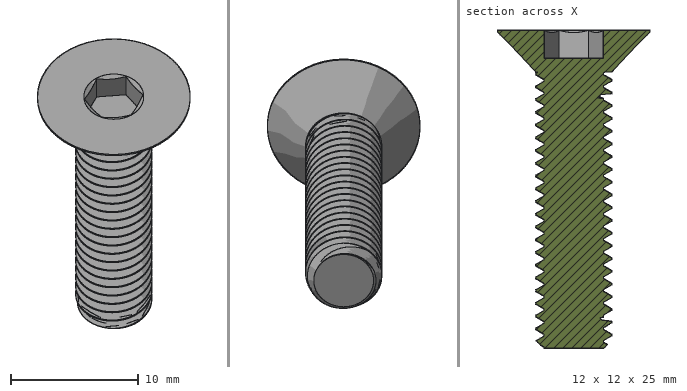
import cadquery as cq
import math

length = 25.0
head_diameter = 12.0
thread_diameter = 6.0

head_height = 3.3
rim_height = 0.15
head_base_z = length - head_height

socket_flats = 4.0
socket_depth = 2.2
lead_in_diameter = 4.7
lead_in_angle = 30.0

pitch = 1.0
root_diameter = 4.7
flank_half_angle = 30.0
crest_flat = pitch / 8
groove_z_at_plus_x = 0.3
rod_overrun = 4 * pitch
cut_clearance = 0.1


def head():
    """Countersunk head: a cone topped by the rim."""
    head_radius = head_diameter / 2
    return (
        cq.Workplane("XZ")
        .moveTo(0, head_base_z)
        .lineTo(thread_diameter / 2, head_base_z)
        .lineTo(head_radius, length - rim_height)
        .lineTo(head_radius, length)
        .lineTo(0, length)
        .close()
        .revolve(360, (0, 0, 0), (0, 1, 0))
    )


def thread_groove():
    """Helical V groove that runs past both ends of the shank."""
    root_radius = root_diameter / 2
    outer_radius = thread_diameter / 2 + cut_clearance
    flank_slope = math.tan(math.radians(flank_half_angle))
    outer_half_width = (pitch - crest_flat) / 2 + cut_clearance * flank_slope
    root_half_width = outer_half_width - (outer_radius - root_radius) * flank_slope

    start_z = groove_z_at_plus_x - pitch
    turns = math.ceil((head_base_z - start_z) / pitch) + 1
    helix = cq.Wire.makeHelix(pitch, turns * pitch, root_radius, center=cq.Vector(0, 0, start_z))
    return (
        cq.Workplane("XZ")
        .polyline([
            (root_radius, start_z - root_half_width),
            (outer_radius, start_z - outer_half_width),
            (outer_radius, start_z + outer_half_width),
            (root_radius, start_z + root_half_width),
        ])
        .close()
        .sweep(cq.Workplane(obj=helix), isFrenet=True)
    )


def threaded_shank():
    """Shank with a full thread, a 45 degree chamfered tip and a flat top under the head."""
    rod = cq.Workplane("XY", origin=(0, 0, -rod_overrun)).circle(thread_diameter / 2)
    rod = rod.extrude(head_base_z + 2 * rod_overrun)
    envelope = (
        cq.Workplane("XY")
        .circle(thread_diameter / 2)
        .extrude(head_base_z)
        .faces("<Z")
        .chamfer((thread_diameter - root_diameter) / 2)
    )
    return rod.cut(thread_groove()).intersect(envelope)


def hex_socket():
    """Hexagonal recess with corners on the Y axis, opened by a shallow cone."""
    across_corners = socket_flats / math.cos(math.radians(30))
    hexagon = (
        cq.Workplane("XY", origin=(0, 0, length))
        .transformed(rotate=(0, 0, 90))
        .polygon(6, across_corners)
        .extrude(-socket_depth)
    )
    lead_in_radius = lead_in_diameter / 2
    lead_in_depth = lead_in_radius * math.tan(math.radians(lead_in_angle))
    lead_in = cq.Workplane(obj=cq.Solid.makeCone(
        lead_in_radius, 0, lead_in_depth, cq.Vector(0, 0, length), cq.Vector(0, 0, -1)
    ))
    return hexagon.union(lead_in)


result = threaded_shank().union(head()).cut(hex_socket())